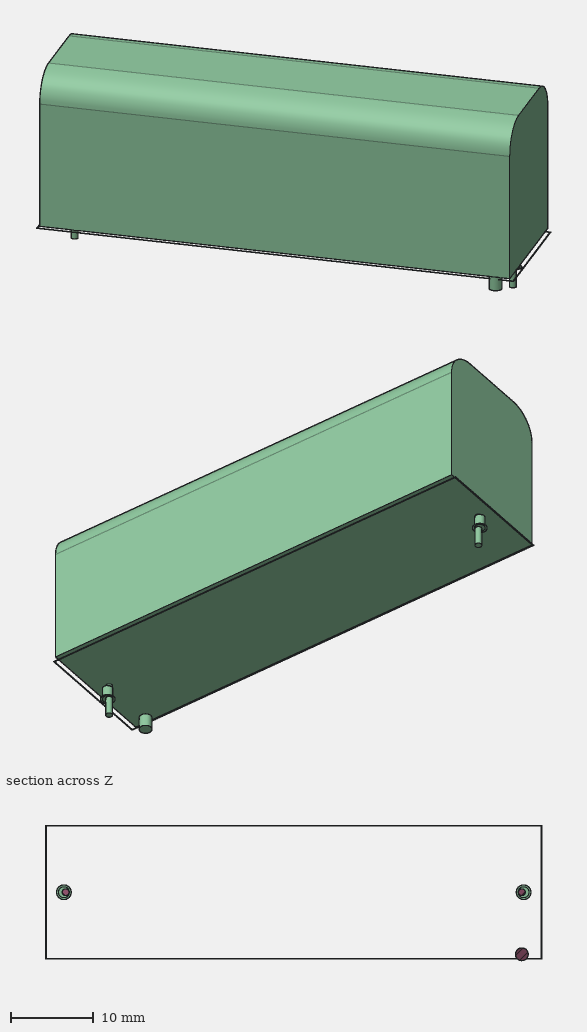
import cadquery as cq

HOUSING_LENGTH = 59.0
HOUSING_WIDTH = 16.5
HOUSING_HEIGHT = 19.8
TOP_RADIUS = 3.85

FRAME_LENGTH = 59.85
FRAME_WIDTH = 16.1
FRAME_STRIP = 0.09
FRAME_THICKNESS = 0.03
FRAME_TOP = -0.35

PIN_DIAMETER = 0.85
PIN_LENGTH = 4.55
PIN_SPACING = 55.0

SLEEVE_DIAMETER = 1.3
SLEEVE_TOP = FRAME_TOP
SLEEVE_BOTTOM = -2.0
SLEEVE_OFFSET = 0.21
FLANGE_DIAMETER = 1.8
FLANGE_THICKNESS = 0.03

PEG_DIAMETER = 1.55
PEG_LENGTH = 1.8
PEG_X = PIN_SPACING / 2
PEG_Y = -(HOUSING_WIDTH - PEG_DIAMETER) / 2


def cylinder(x, y, bottom, top, diameter):
    """Vertical cylinder between two heights."""
    base = cq.Workplane("XY", origin=(x, y, bottom))
    return base.circle(diameter / 2).extrude(top - bottom)


def make_housing():
    block = cq.Workplane("XY").box(
        HOUSING_LENGTH, HOUSING_WIDTH, HOUSING_HEIGHT, centered=(True, True, False)
    )
    return block.edges("|X and >Z").fillet(TOP_RADIUS)


def make_peg():
    return cylinder(PEG_X, PEG_Y, -PEG_LENGTH, 0, PEG_DIAMETER)


def make_frame(peg):
    """Thin loop, interrupted where the peg passes through it."""
    loop = (
        cq.Workplane("XY", origin=(0, 0, FRAME_TOP))
        .rect(FRAME_LENGTH, FRAME_WIDTH)
        .rect(FRAME_LENGTH - 2 * FRAME_STRIP, FRAME_WIDTH - 2 * FRAME_STRIP)
        .extrude(-FRAME_THICKNESS)
    )
    return loop.cut(peg)


def make_pin(side):
    return cylinder(side * PIN_SPACING / 2, 0, -PIN_LENGTH, 0, PIN_DIAMETER)


def make_sleeve(side, pin):
    """Sleeve with a bottom flange and an off-centre bore that fits the pin."""
    x = side * (PIN_SPACING / 2 + SLEEVE_OFFSET)
    barrel = cylinder(x, 0, SLEEVE_BOTTOM, SLEEVE_TOP, SLEEVE_DIAMETER)
    flange = cylinder(x, 0, SLEEVE_BOTTOM, SLEEVE_BOTTOM + FLANGE_THICKNESS, FLANGE_DIAMETER)
    return barrel.union(flange).cut(pin)


housing = make_housing()
peg = make_peg()
frame = make_frame(peg)
pins = []
sleeves = []
for side in (-1, 1):
    pin = make_pin(side)
    pins.append(pin.val())
    sleeves.append(make_sleeve(side, pin).val())

result = cq.Compound.makeCompound([housing.val(), frame.val(), peg.val(), *pins, *sleeves])